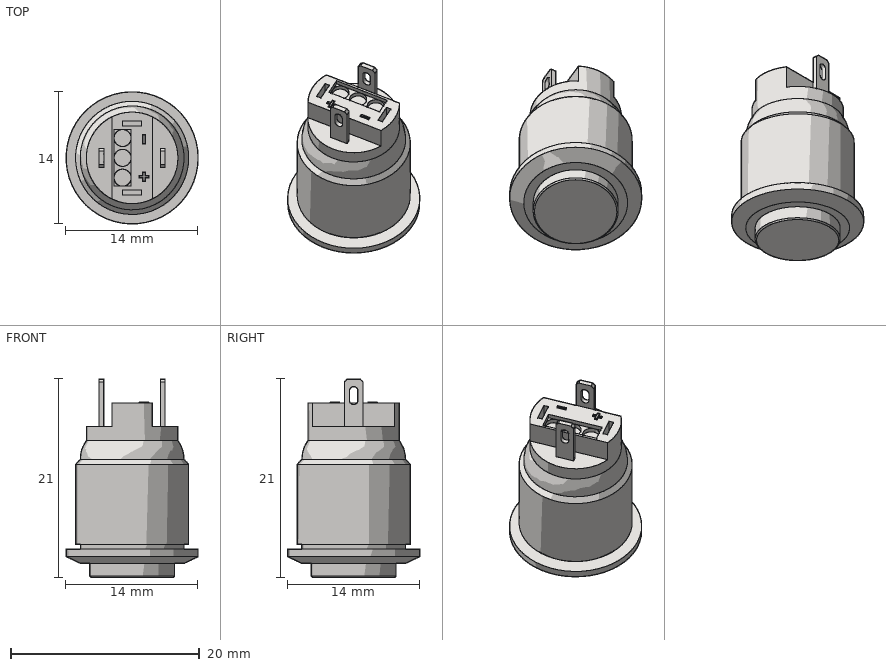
import cadquery as cq
import math

BUTTON_TOP = 1.5
FLANGE_EDGE_BOTTOM = 2.2
FLANGE_TOP = 3.0
NECK_TOP = 3.5
BODY_TOP = 12.0
BODY_CHAMFER_TOP = 12.52
DOME_TOP = 14.51
SHELF_LEVEL = 16.0
BLOCK_TOP = 18.5
TERMINAL_TOP = 21.0

BUTTON_RADIUS = 9.0 / 2
FLANGE_RADIUS = 14.0 / 2
NECK_RADIUS = 11.0 / 2
BODY_RADIUS = 12.0 / 2
REAR_RADIUS = 9.7 / 2
BUTTON_CHAMFER = 0.15

BLOCK_WIDTH = 4.3

TERMINAL_OFFSET = 3.25
TERMINAL_THICKNESS = 0.5
TERMINAL_WIDTH = 2.0
TERMINAL_CHAMFER = 0.3
EYELET_WIDTH = 0.86
EYELET_LENGTH = 1.9
EYELET_TOP_MARGIN = 0.8

SLOT_OFFSET = 3.65
SLOT_DEPTH = BLOCK_TOP - SHELF_LEVEL

WELL_DIAMETER = 1.8
WELL_PITCH = 2.1
WELL_COUNT = 3
WELL_DEPTH = 0.5
POCKET_CENTER_X = -1.0
POCKET_DEPTH = 0.5
POCKET_LENGTH = (WELL_COUNT - 1) * WELL_PITCH + WELL_DIAMETER

MARK_X = 1.25
MARK_Y = 2.0
MARK_LENGTH = 1.0
MARK_STROKE = 0.3
MARK_HEIGHT = 0.1
MARK_CHAMFER = 0.052


def box_from(x, y, bottom, size_x, size_y, height):
    """Box centred on (x, y) that rises from the level `bottom`."""
    box = cq.Workplane("XY").box(size_x, size_y, height, centered=(True, True, False))
    return box.translate((x, y, bottom))


def turned_body():
    """Button, flange, neck, barrel, dome and rear end as one revolved profile."""
    dome_rise = DOME_TOP - BODY_CHAMFER_TOP
    dome_inset = NECK_RADIUS - REAR_RADIUS
    arc_radius = (dome_rise**2 + dome_inset**2) / (2 * dome_inset)
    middle_rise = dome_rise / 2
    middle_inset = arc_radius - math.sqrt(arc_radius**2 - middle_rise**2)
    dome_middle = (NECK_RADIUS - middle_inset, BODY_CHAMFER_TOP + middle_rise)

    return (
        cq.Workplane("XZ")
        .moveTo(0, 0)
        .lineTo(BUTTON_RADIUS - BUTTON_CHAMFER, 0)
        .lineTo(BUTTON_RADIUS, BUTTON_CHAMFER)
        .lineTo(BUTTON_RADIUS, BUTTON_TOP)
        .lineTo(NECK_RADIUS, BUTTON_TOP)
        .lineTo(FLANGE_RADIUS, FLANGE_EDGE_BOTTOM)
        .lineTo(FLANGE_RADIUS, FLANGE_TOP)
        .lineTo(NECK_RADIUS, FLANGE_TOP)
        .lineTo(NECK_RADIUS, NECK_TOP)
        .lineTo(BODY_RADIUS, NECK_TOP)
        .lineTo(BODY_RADIUS, BODY_TOP)
        .lineTo(NECK_RADIUS, BODY_CHAMFER_TOP)
        .threePointArc(dome_middle, (REAR_RADIUS, DOME_TOP))
        .lineTo(REAR_RADIUS, SHELF_LEVEL)
        .lineTo(0, SHELF_LEVEL)
        .close()
        .revolve(360, (0, 0, 0), (0, 1, 0))
    )


def terminal_block():
    """Rear cylinder trimmed to the block width, overlapping the body below."""
    height = BLOCK_TOP - DOME_TOP
    cylinder = cq.Workplane("XY").workplane(offset=DOME_TOP).circle(REAR_RADIUS).extrude(height)
    return cylinder.intersect(box_from(0, 0, DOME_TOP, BLOCK_WIDTH, 2 * REAR_RADIUS, height))


def terminal(x):
    """Flat upright terminal with chamfered top corners and a long round-ended eyelet."""
    height = TERMINAL_TOP - DOME_TOP
    blade = box_from(x, 0, DOME_TOP, TERMINAL_THICKNESS, TERMINAL_WIDTH, height)
    blade = blade.edges("|X and >Z").chamfer(TERMINAL_CHAMFER)
    eyelet = (
        cq.Workplane("YZ")
        .center(0, TERMINAL_TOP - EYELET_TOP_MARGIN - EYELET_LENGTH / 2)
        .slot2D(EYELET_LENGTH, EYELET_WIDTH, 90)
        .extrude(TERMINAL_THICKNESS, both=True)
        .translate((x, 0, 0))
    )
    return blade.cut(eyelet)


def terminal_slot(y):
    """Cutter for an empty terminal slot in the block."""
    bottom = BLOCK_TOP - SLOT_DEPTH
    return box_from(0, y, bottom, TERMINAL_WIDTH, TERMINAL_THICKNESS, SLOT_DEPTH)


def connector_pocket():
    """Cutter for the long pocket and the round wells in its floor."""
    floor = BLOCK_TOP - POCKET_DEPTH
    pocket = box_from(POCKET_CENTER_X, 0, floor, WELL_DIAMETER, POCKET_LENGTH, POCKET_DEPTH)
    wells = (
        cq.Workplane("XY")
        .workplane(offset=floor - WELL_DEPTH)
        .center(POCKET_CENTER_X, 0)
        .rarray(0.2, WELL_PITCH, 1, WELL_COUNT)
        .circle(WELL_DIAMETER / 2)
        .extrude(WELL_DEPTH + POCKET_DEPTH)
    )
    return pocket.union(wells)


def polarity_marks():
    """Raised minus and plus signs with chamfered rims, sunk into the block to fuse with it."""
    bottom = BLOCK_TOP - MARK_HEIGHT
    height = 2 * MARK_HEIGHT
    minus = box_from(MARK_X, MARK_Y, bottom, MARK_STROKE, MARK_LENGTH, height)
    plus = box_from(MARK_X, -MARK_Y, bottom, MARK_STROKE, MARK_LENGTH, height)
    plus_bar = box_from(MARK_X, -MARK_Y, bottom, MARK_LENGTH, MARK_STROKE, height)
    return minus.union(plus.union(plus_bar)).faces(">Z").chamfer(MARK_CHAMFER)


result = turned_body().union(terminal_block()).cut(connector_pocket()).union(polarity_marks())
for side in (-1, 1):
    result = result.union(terminal(side * TERMINAL_OFFSET))
    result = result.cut(terminal_slot(side * SLOT_OFFSET))